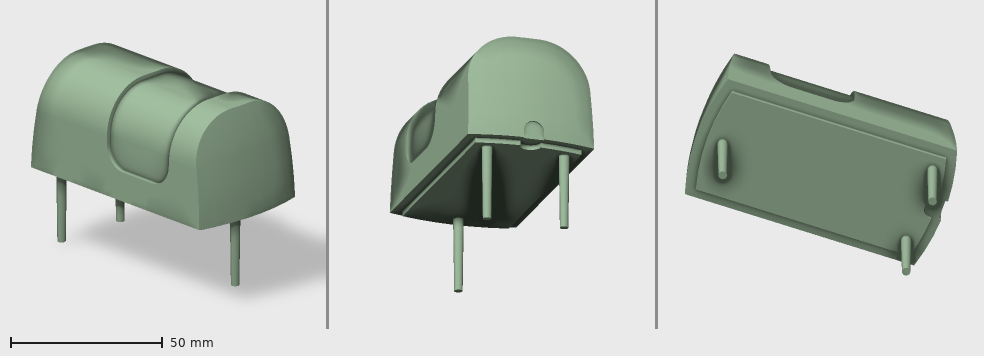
import cadquery as cq
import math

LENGTH = 86.13
WIDTH = 43.89
TOTAL_HEIGHT = 64.0
PIN_LENGTH = 25.1
PLATE_THICKNESS = 1.65
BODY_HEIGHT = TOTAL_HEIGHT - PIN_LENGTH - PLATE_THICKNESS
SIDE_DRAFT = math.radians(2.0)
SHOULDER_RADIUS = 17.0

END_PLAN_RADIUS = 77.0
END_TOP_SETBACK = 6.25
END_BULGE = 1.35

SADDLE_DEPTH = 1.82
SADDLE_CENTER_X = 10.2
SADDLE_TOP_LENGTH = 30.4
SADDLE_BOTTOM_LENGTH = 28.8
SADDLE_FLOOR_Z = 10.1
SADDLE_CORNER_RADIUS = 7.8

PLATE_INSET = 3.5

NOTCH_WIDTH = 7.0
NOTCH_HEIGHT = 6.1
NOTCH_DEPTH = 1.0

PIN_ROOT_DIAMETER = 3.5
PIN_TIP_DIAMETER = 2.8
PIN_X = 34.2
PIN_Y = 13.4
PIN_TAPER = math.degrees(math.atan((PIN_ROOT_DIAMETER - PIN_TIP_DIAMETER) / 2 / PIN_LENGTH))
PIN_PLACES = [(-PIN_X, -PIN_Y), (-PIN_X, PIN_Y), (PIN_X, 0)]

HALF_LENGTH = LENGTH / 2
HALF_WIDTH = WIDTH / 2
END_AXIS_X = HALF_LENGTH - END_PLAN_RADIUS


def hood(inset):
    """Long prism of the body's cross-section, moved inward by inset at the sides and crown."""
    radius = SHOULDER_RADIUS - inset
    center_z = BODY_HEIGHT - SHOULDER_RADIUS
    tangent_z = center_z + SHOULDER_RADIUS * math.sin(SIDE_DRAFT)
    tangent_y = HALF_WIDTH - tangent_z * math.tan(SIDE_DRAFT)
    center_y = tangent_y - SHOULDER_RADIUS * math.cos(SIDE_DRAFT)

    def on_shoulder(angle):
        return center_y + radius * math.cos(angle), center_z + radius * math.sin(angle)

    side = on_shoulder(SIDE_DRAFT)
    middle = on_shoulder((SIDE_DRAFT + math.pi / 2) / 2)
    crown = on_shoulder(math.pi / 2)
    foot_y = HALF_WIDTH - inset / math.cos(SIDE_DRAFT)
    return (
        cq.Workplane("YZ")
        .moveTo(foot_y, 0)
        .lineTo(*side)
        .threePointArc(middle, crown)
        .lineTo(-crown[0], crown[1])
        .threePointArc((-middle[0], middle[1]), (-side[0], side[1]))
        .lineTo(-foot_y, 0)
        .close()
        .extrude(HALF_LENGTH, both=True)
    )


def end_dome():
    """Disc whose rim, bulging outward and leaning inward toward the top, forms the +X end."""
    chord = math.hypot(BODY_HEIGHT, END_TOP_SETBACK)
    rim_middle = (
        END_PLAN_RADIUS - END_TOP_SETBACK / 2 + END_BULGE * BODY_HEIGHT / chord,
        BODY_HEIGHT / 2 + END_BULGE * END_TOP_SETBACK / chord,
    )
    return (
        cq.Workplane("XZ")
        .lineTo(END_PLAN_RADIUS, 0)
        .threePointArc(rim_middle, (END_PLAN_RADIUS - END_TOP_SETBACK, BODY_HEIGHT))
        .lineTo(0, BODY_HEIGHT)
        .close()
        .revolve(360, (0, 0, 0), (0, 1, 0))
        .translate((END_AXIS_X, 0, 0))
    )


def saddle():
    """Skin between the body and its inset copy, limited to the rounded side window."""
    half_top = SADDLE_TOP_LENGTH / 2
    half_bottom = SADDLE_BOTTOM_LENGTH / 2
    window = (
        cq.Workplane("XZ")
        .polyline([
            (-half_bottom, SADDLE_FLOOR_Z),
            (half_bottom, SADDLE_FLOOR_Z),
            (half_top, BODY_HEIGHT),
            (-half_top, BODY_HEIGHT),
        ])
        .close()
        .extrude(HALF_WIDTH, both=True)
        .edges("|Y and <Z")
        .fillet(SADDLE_CORNER_RADIUS)
        .translate((SADDLE_CENTER_X, 0, 0))
    )
    return window.cut(hood(SADDLE_DEPTH))


def base_plate():
    """Plate with bowed ends that run parallel to the body's bottom outline."""
    bow_radius = END_PLAN_RADIUS - PLATE_INSET
    plate = cq.Workplane("XY").box(
        LENGTH, WIDTH - 2 * PLATE_INSET, PLATE_THICKNESS, centered=(True, True, False)
    )
    for axis_x in (END_AXIS_X, -END_AXIS_X):
        bow = cq.Workplane("XY").center(axis_x, 0).circle(bow_radius).extrude(PLATE_THICKNESS)
        plate = plate.intersect(bow)
    notch = (
        cq.Workplane("XY")
        .center(PLATE_INSET - HALF_LENGTH, 0)
        .circle(NOTCH_WIDTH / 2)
        .extrude(PLATE_THICKNESS)
    )
    return plate.cut(notch).translate((0, 0, -PLATE_THICKNESS))


def end_notch():
    """Round-topped shallow recess in the -X end, open at the bottom."""
    half = NOTCH_WIDTH / 2
    shoulder_z = NOTCH_HEIGHT - half
    return (
        cq.Workplane("YZ", origin=(-HALF_LENGTH, 0, 0))
        .moveTo(-half, 0)
        .lineTo(-half, shoulder_z)
        .threePointArc((0, NOTCH_HEIGHT), (half, shoulder_z))
        .lineTo(half, 0)
        .close()
        .extrude(NOTCH_DEPTH)
    )


def pins():
    """Round pins that narrow toward their tips."""
    return (
        cq.Workplane("XY", origin=(0, 0, -PLATE_THICKNESS))
        .pushPoints(PIN_PLACES)
        .circle(PIN_ROOT_DIAMETER / 2)
        .extrude(-PIN_LENGTH, taper=PIN_TAPER)
    )


dome = end_dome()
body = hood(0).intersect(dome).intersect(dome.mirror("YZ"))
body = body.cut(saddle()).cut(end_notch())
result = body.union(base_plate()).union(pins())